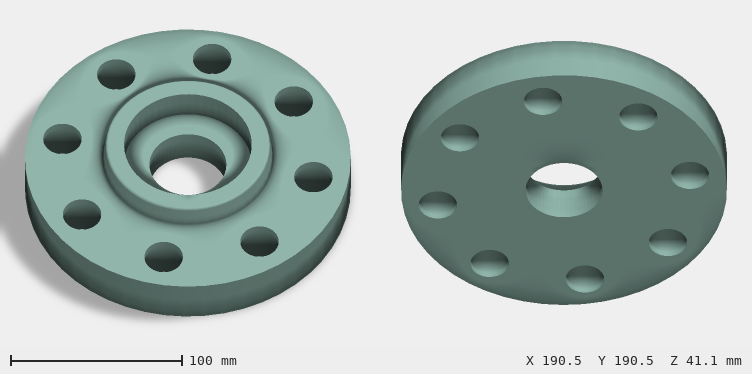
import cadquery as cq
import math

flange_diameter = 190.5
flange_thickness = 28.4
total_height = 41.1

hub_base_diameter = 100.2
hub_top_diameter = 95.6
top_edge_radius = 1.5
root_fillet_radius = 1.5

socket_diameter = 74.7
socket_depth = 19.0
bore_diameter = 45.0

bolt_count = 8
bolt_circle_diameter = 149.3
bolt_hole_diameter = 22.5


def make_flange():
    """Round plate standing on Z = 0."""
    return cq.Workplane("XY").circle(flange_diameter / 2).extrude(flange_thickness)


def make_hub():
    """Tapered hub on top of the plate, with a rounded top edge."""
    hub_height = total_height - flange_thickness
    taper = math.degrees(math.atan((hub_base_diameter - hub_top_diameter) / 2 / hub_height))
    hub = (
        cq.Workplane("XY")
        .workplane(offset=flange_thickness)
        .circle(hub_base_diameter / 2)
        .extrude(hub_height, taper=taper)
    )
    return hub.edges(">Z").fillet(top_edge_radius)


def fillet_hub_root(body):
    """Blend the foot of the hub into the plate."""
    reach = hub_base_diameter / 2 + root_fillet_radius
    margin = 0.2
    around_root = cq.selectors.BoxSelector(
        (-reach, -reach, flange_thickness - margin),
        (reach, reach, flange_thickness + margin),
        boundingbox=True,
    )
    return body.edges(around_root).fillet(root_fillet_radius)


def cut_bore(body):
    """Open the socket from the top face and the bore all the way through."""
    return body.faces(">Z").workplane().cboreHole(bore_diameter, socket_diameter, socket_depth)


def cut_bolt_holes(body):
    """Drill the ring of bolt holes through the plate."""
    holes = (
        cq.Workplane("XY")
        .polarArray(bolt_circle_diameter / 2, 0, 360, bolt_count)
        .circle(bolt_hole_diameter / 2)
        .extrude(flange_thickness)
    )
    return body.cut(holes)


body = make_flange().union(make_hub())
body = fillet_hub_root(body)
body = cut_bore(body)
result = cut_bolt_holes(body)